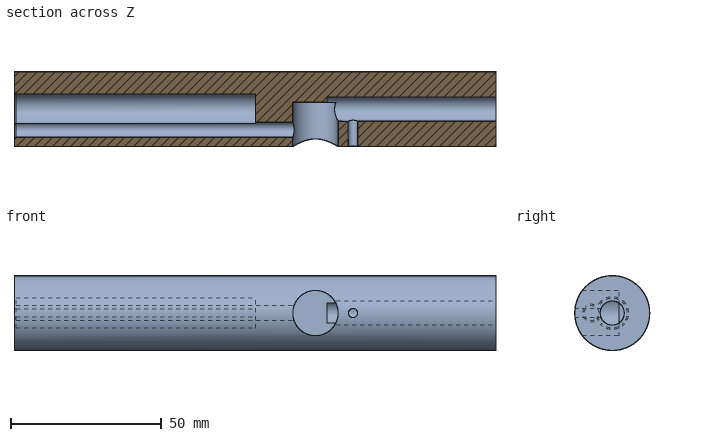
import cadquery as cq

length = 160.0
bar_diameter = 25.0

cross_x = 100.0
cross_diameter = 15.0
cross_floor_y = 2.2

pin_x = cross_x + 12.5
pin_diameter = 3.0

near_bore_diameter = 10.0
near_bore_depth = 80.0
channel_diameter = 5.0
channel_y = -6.9
mouth_chamfer = 0.5

far_bore_diameter = 8.0
far_bore_start = cross_x + 3.8


def axial_cylinder(diameter, start_x, end_x, y=0.0):
    """Cylinder parallel to X between two X positions."""
    plane = cq.Workplane("YZ", origin=(start_x, y, 0))
    return plane.circle(diameter / 2).extrude(end_x - start_x)


def radial_cylinder(diameter, x, end_y):
    """Cylinder parallel to Y from the -Y side of the bar inward to end_y."""
    start_y = -bar_diameter / 2
    plane = cq.Workplane("XZ", origin=(x, start_y, 0))
    return plane.circle(diameter / 2).extrude(start_y - end_y)


def chamfered_hole(diameter, depth, y=0.0):
    """Hole from the X = 0 face with a conical mouth."""
    hole = axial_cylinder(diameter, 0, depth, y)
    mouth_diameter = diameter + 2 * mouth_chamfer
    mouth = axial_cylinder(mouth_diameter, 0, 2 * mouth_chamfer, y)
    mouth = mouth.faces(">X").chamfer(mouth_chamfer)
    mouth = mouth.translate((-mouth_chamfer, 0, 0))
    return hole.union(mouth)


result = axial_cylinder(bar_diameter, 0, length)
result = result.cut(radial_cylinder(cross_diameter, cross_x, cross_floor_y))
result = result.cut(axial_cylinder(far_bore_diameter, far_bore_start, length))
result = result.cut(radial_cylinder(pin_diameter, pin_x, 0))
result = result.cut(chamfered_hole(near_bore_diameter, near_bore_depth))
result = result.cut(chamfered_hole(channel_diameter, cross_x, channel_y))